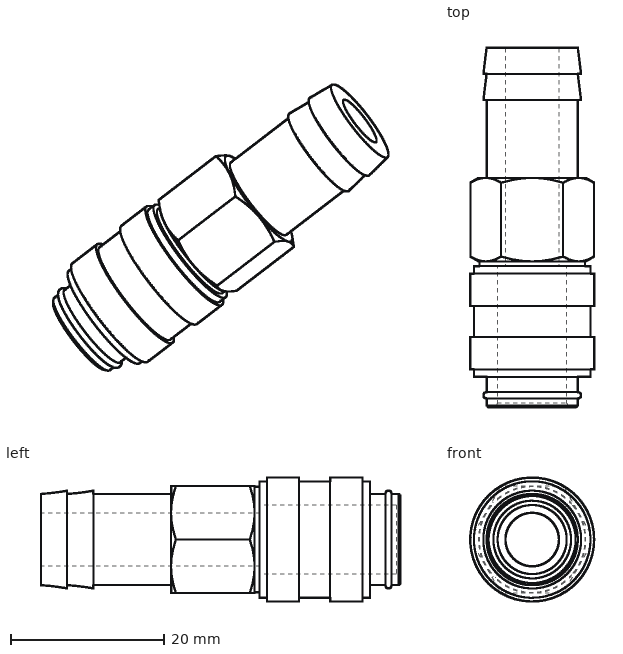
import cadquery as cq
import math

total_length = 47.0

tube_radius = 5.95
barb_radius = 6.4
barb_length = 3.45
barb_count = 2
tail_length = 17.0

hex_across_flats = 14.0
hex_length = 10.9
hex_bevel_angle = 30.0
hex_back = total_length - tail_length
hex_front = hex_back - hex_length

neck_radius = 6.9
neck_length = 0.6
sleeve_radius = 7.6
sleeve_front = 4.0
sleeve_back = hex_front - neck_length
band_diameter = 16.2
band_radius = band_diameter / 2
band_length = 4.25
band_inset = 1.0

lip_chamfer = 0.3
bead_radius = 0.4
bead_position = 1.6

socket_radius = 4.5
socket_chamfer = 0.55
socket_depth = sleeve_back
passage_radius = 3.5


def revolve_about_y(profile):
    return profile.close().revolve(360, (0, 0, 0), (0, 1, 0))


def cylinder(radius, start, end):
    return revolve_about_y(
        cq.Workplane("XY").moveTo(0, start).lineTo(radius, start).lineTo(radius, end).lineTo(0, end)
    )


def barb(wide_end):
    """Cone that narrows from barb radius to tube radius toward the hose end."""
    narrow_end = wide_end + barb_length
    return revolve_about_y(
        cq.Workplane("XY")
        .moveTo(0, wide_end)
        .lineTo(barb_radius, wide_end)
        .lineTo(tube_radius, narrow_end)
        .lineTo(0, narrow_end)
    )


def bevelled_hexagon():
    corner_radius = hex_across_flats / math.sqrt(3)
    face_radius = hex_across_flats / 2
    bevel = (corner_radius - face_radius) * math.tan(math.radians(hex_bevel_angle))
    prism = (
        cq.Workplane("XZ", origin=(0, hex_front, 0))
        .polygon(6, 2 * corner_radius)
        .extrude(-hex_length)
    )
    envelope = revolve_about_y(
        cq.Workplane("XY")
        .moveTo(0, hex_front)
        .lineTo(face_radius, hex_front)
        .lineTo(corner_radius, hex_front + bevel)
        .lineTo(corner_radius, hex_back - bevel)
        .lineTo(face_radius, hex_back)
        .lineTo(0, hex_back)
    )
    return prism.intersect(envelope)


def socket_lip():
    return revolve_about_y(
        cq.Workplane("XY")
        .lineTo(tube_radius - lip_chamfer, 0)
        .lineTo(tube_radius, lip_chamfer)
        .lineTo(tube_radius, bead_position - bead_radius)
        .threePointArc(
            (tube_radius + bead_radius, bead_position),
            (tube_radius, bead_position + bead_radius),
        )
        .lineTo(tube_radius, sleeve_front)
        .lineTo(0, sleeve_front)
    )


def stepped_bore():
    return revolve_about_y(
        cq.Workplane("XY")
        .lineTo(socket_radius + socket_chamfer, 0)
        .lineTo(socket_radius, socket_chamfer)
        .lineTo(socket_radius, socket_depth)
        .lineTo(passage_radius, socket_depth)
        .lineTo(passage_radius, total_length)
        .lineTo(0, total_length)
    )


body = socket_lip()
body = body.union(cylinder(sleeve_radius, sleeve_front, sleeve_back))
for band_start in (sleeve_front + band_inset, sleeve_back - band_inset - band_length):
    body = body.union(cylinder(band_radius, band_start, band_start + band_length))
body = body.union(cylinder(neck_radius, sleeve_back, hex_front))
body = body.union(bevelled_hexagon())
body = body.union(cylinder(tube_radius, hex_back, total_length))
for index in range(barb_count):
    body = body.union(barb(total_length - (index + 1) * barb_length))

result = body.cut(stepped_bore())